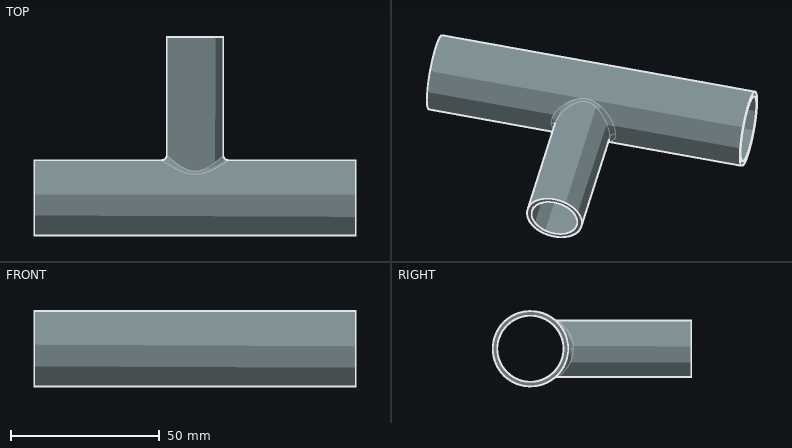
import cadquery as cq

run_length = 108.0
run_outer_diameter = 25.4
wall = 1.6
branch_outer_diameter = 19.0
branch_reach = 54.0
weld_fillet = 1.6

run_inner_diameter = run_outer_diameter - 2 * wall
branch_inner_diameter = branch_outer_diameter - 2 * wall


def run_cylinder(diameter):
    """Solid cylinder along X, centred on the origin."""
    return cq.Workplane("YZ").circle(diameter / 2).extrude(run_length / 2, both=True)


def branch_cylinder(diameter):
    """Solid cylinder from the run axis to the end of the branch, along +Y."""
    return cq.Workplane("XZ").circle(diameter / 2).extrude(-branch_reach)


seam_zone = cq.selectors.BoxSelector(
    (-branch_outer_diameter, 0, -run_outer_diameter),
    (branch_outer_diameter, run_outer_diameter, run_outer_diameter),
    boundingbox=True,
)
body = run_cylinder(run_outer_diameter).union(branch_cylinder(branch_outer_diameter))
body = body.edges(seam_zone).fillet(weld_fillet)

result = body.cut(run_cylinder(run_inner_diameter)).cut(branch_cylinder(branch_inner_diameter))